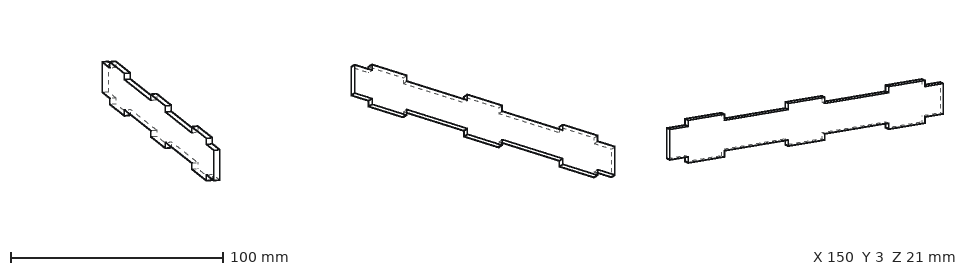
import cadquery as cq

length = 150.0
thickness = 3.0
strip_height = 15.0

tab_projection = thickness
tab_width = length * 2 / 15
end_margin = tab_width / 2
overall_height = strip_height + 2 * tab_projection

outer_tab_x = length / 2 - end_margin - tab_width / 2
tab_centers = (-outer_tab_x, 0, outer_tab_x)

result = cq.Workplane("XY").box(length, thickness, strip_height)

for center_x in tab_centers:
    tab_pair = cq.Workplane("XY").box(tab_width, thickness, overall_height)
    result = result.union(tab_pair.translate((center_x, 0, 0)))

result = result.clean()